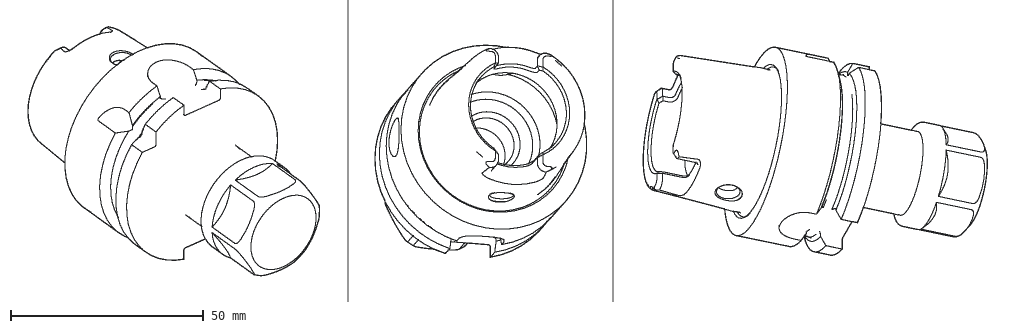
import cadquery as cq
import math

overall_length = 84.9
taper_end_x = 22.9
relief_x = 23.7
flange_start_x = 25.0
flange_end_x = 50.85
nut_start_x = 67.1

shank_tip_radius = 17.9
shank_root_radius = 19.0
shank_edge_round = 0.85
relief_radius = 18.9
face_groove_start_x = 24.7
face_groove_round = 0.9
face_groove_outer_radius = 20.4

flange_radius = 50.0 / 2
grip_centre_x = 43.0
grip_floor_radius = 21.5
grip_floor_width = 2.4
grip_corner_round = 0.8
grip_wall_height = 1.0
grip_flank_angle = 30.0

neck_radius = 11.1
neck_fillet = 4.0

bore_radius = 12.9
bore_chamfer = 0.7
bore_lip_end_x = 9.9
undercut_radius = 15.8
undercut_end_x = 19.5
bore_floor_x = 29.3
bore_floor_radius = 11.6
bore_floor_chamfer = 1.5
inner_hole_radius = 7.0
inner_hole_depth = 10.2
inner_hole_chamfer = 1.3

drive_slot_half_width = 10.45 / 2
drive_slot_depths = {1: 4.3, -1: 7.5}
drive_slot_inner_z = 8.5
drive_slot_flare_z = 13.9
drive_slot_flare_radius = 2.3
drive_slot_outer_half_width = 10.2
drive_slot_outer_z = 25.5
drive_slot_floor_round = 1.3
drive_slot_edge_chamfer = 1.2

cross_hole_x = 17.4
cross_hole_radius = 3.05
cross_hole_countersink = 0.6

slot_end_radius = 6.0
slot_centre_x = 37.8
slot_floor_z = 20.9
notch_offset = 15.3
slot_floor_fillet = 0.5

chip_x = 31.8
chip_radius = 5.0
chip_depth = 4.6

nut_radius = 13.8
nut_back_round = 1.3
nut_hex_apothem = 12.4
nut_hex_start_x = 72.5
nut_hex_count = 6
nut_cone_start_x = 82.9
nut_tip_radius = 10.8
nut_tip_round = 1.7

clearance = 4.25
chamfer_angle = 45.0
radius_tolerance = 0.001


def revolve_about_x(profile):
    return profile.close().revolve(360, (0, 0, 0), (1, 0, 0))


def holder_blank():
    """Turned outside of the holder: shank, flange with gripper groove, and neck."""
    cylinder_half = grip_floor_width / 2
    wall_half = cylinder_half + grip_corner_round
    wall_top_radius = grip_floor_radius + grip_wall_height
    flank_width = (flange_radius - wall_top_radius) * math.tan(math.radians(grip_flank_angle))
    rim_half = wall_half + flank_width
    corner_radius = grip_floor_radius + grip_corner_round
    round_drop = grip_corner_round * (1 - math.sqrt(0.5))
    groove_mid_x = face_groove_start_x + face_groove_round * math.sqrt(0.5)
    groove_mid_radius = relief_radius + face_groove_round * (1 - math.sqrt(0.5))
    neck_round_drop = neck_fillet * (1 - math.sqrt(0.5))
    shank_round_drop = shank_edge_round * (1 - math.sqrt(0.5))

    profile = (
        cq.Workplane("XY")
        .moveTo(0, 0)
        .lineTo(0, shank_tip_radius - shank_edge_round)
        .threePointArc(
            (shank_round_drop, shank_tip_radius - shank_round_drop), (shank_edge_round, shank_tip_radius)
        )
        .lineTo(taper_end_x, shank_root_radius)
        .lineTo(relief_x, relief_radius)
        .lineTo(face_groove_start_x, relief_radius)
        .threePointArc(
            (groove_mid_x, groove_mid_radius),
            (face_groove_start_x + face_groove_round, relief_radius + face_groove_round),
        )
        .lineTo(flange_start_x, face_groove_outer_radius)
        .lineTo(flange_start_x, flange_radius)
        .lineTo(grip_centre_x - rim_half, flange_radius)
        .lineTo(grip_centre_x - wall_half, wall_top_radius)
        .lineTo(grip_centre_x - wall_half, corner_radius)
        .threePointArc(
            (grip_centre_x - wall_half + round_drop, grip_floor_radius + round_drop),
            (grip_centre_x - cylinder_half, grip_floor_radius),
        )
        .lineTo(grip_centre_x + cylinder_half, grip_floor_radius)
        .threePointArc(
            (grip_centre_x + wall_half - round_drop, grip_floor_radius + round_drop),
            (grip_centre_x + wall_half, corner_radius),
        )
        .lineTo(grip_centre_x + wall_half, wall_top_radius)
        .lineTo(grip_centre_x + rim_half, flange_radius)
        .lineTo(flange_end_x, flange_radius)
        .lineTo(flange_end_x, neck_radius + neck_fillet)
        .threePointArc(
            (flange_end_x + neck_round_drop, neck_radius + neck_round_drop),
            (flange_end_x + neck_fillet, neck_radius),
        )
        .lineTo(nut_start_x, neck_radius)
        .lineTo(nut_start_x, 0)
    )
    return revolve_about_x(profile)


def clamping_bore():
    """Stepped bore: lip, wider undercut, cone and chamfer down to a flat floor, and a blind hole."""
    profile = (
        cq.Workplane("XY")
        .moveTo(0, 0)
        .lineTo(0, bore_radius)
        .lineTo(bore_lip_end_x, bore_radius)
        .lineTo(bore_lip_end_x, undercut_radius)
        .lineTo(undercut_end_x, undercut_radius)
        .lineTo(bore_floor_x - bore_floor_chamfer, bore_floor_radius + bore_floor_chamfer)
        .lineTo(bore_floor_x, bore_floor_radius)
        .lineTo(bore_floor_x, inner_hole_radius + inner_hole_chamfer)
        .lineTo(bore_floor_x + inner_hole_chamfer, inner_hole_radius)
        .lineTo(bore_floor_x + inner_hole_depth, inner_hole_radius)
        .lineTo(bore_floor_x + inner_hole_depth, 0)
    )
    return revolve_about_x(profile)


def drive_slot_outline():
    """Outline in the YZ plane: straight walls that flare outward towards the rim."""
    half = drive_slot_half_width
    outer_half = drive_slot_outer_half_width
    flare_drop = drive_slot_flare_radius * (1 - math.sqrt(0.5))
    flare_rise = drive_slot_flare_radius * math.sqrt(0.5)
    flare_end_y = half + drive_slot_flare_radius
    flare_end_z = drive_slot_flare_z + drive_slot_flare_radius
    return (
        cq.Workplane("YZ")
        .moveTo(-half, drive_slot_inner_z)
        .lineTo(half, drive_slot_inner_z)
        .lineTo(half, drive_slot_flare_z)
        .threePointArc((half + flare_drop, drive_slot_flare_z + flare_rise), (flare_end_y, flare_end_z))
        .lineTo(outer_half, flare_end_z)
        .lineTo(outer_half, drive_slot_outer_z)
        .lineTo(-outer_half, drive_slot_outer_z)
        .lineTo(-outer_half, flare_end_z)
        .lineTo(-flare_end_y, flare_end_z)
        .threePointArc((-half - flare_drop, drive_slot_flare_z + flare_rise), (-half, drive_slot_flare_z))
        .close()
    )


def drive_slot(depth):
    """Cutter for the drive slot on the +Z side, with rounded floor and chamfered mouth."""
    slot = drive_slot_outline().extrude(depth).faces(">X").edges().fillet(drive_slot_floor_round)
    mouth = (
        drive_slot_outline()
        .offset2D(drive_slot_edge_chamfer, "intersection")
        .extrude(drive_slot_edge_chamfer, taper=chamfer_angle)
    )
    return slot.union(mouth)


def cross_hole():
    """Cutter for the countersunk radial hole on the +Z side."""
    slope = (shank_root_radius - shank_tip_radius) / taper_end_x
    surface_z = shank_tip_radius + slope * cross_hole_x
    sink_radius = cross_hole_radius + cross_hole_countersink
    hole = cq.Workplane("XY").center(cross_hole_x, 0).circle(cross_hole_radius).extrude(surface_z)
    sink = (
        cq.Workplane("XY", origin=(cross_hole_x, 0, surface_z - cross_hole_countersink))
        .circle(cross_hole_radius)
        .workplane(offset=cross_hole_countersink)
        .circle(sink_radius)
        .loft()
    )
    sink_mouth = (
        cq.Workplane("XY", origin=(cross_hole_x, 0, surface_z))
        .circle(sink_radius)
        .extrude(clearance)
    )
    return hole.union(sink).union(sink_mouth)


def round_ended_slot(centre_y, floor_z):
    """Cutter open to +X and +Z with a half-round end and a fillet along its floor."""
    end_x = flange_end_x + clearance
    cutter = (
        cq.Workplane("XY", origin=(0, centre_y, floor_z))
        .moveTo(end_x, -slot_end_radius)
        .lineTo(end_x, slot_end_radius)
        .lineTo(slot_centre_x, slot_end_radius)
        .threePointArc((slot_centre_x - slot_end_radius, 0), (slot_centre_x, -slot_end_radius))
        .close()
        .extrude(flange_radius)
    )
    return cutter.faces("<Z").edges("not >X").fillet(slot_floor_fillet)


def corner_notch():
    """Cutter for the notch in the -Y, +Z corner of the flange."""
    return round_ended_slot(-notch_offset - slot_end_radius, notch_offset)


def chip_pocket():
    """Cutter for the round blind pocket in the +Y side of the flange rim."""
    return (
        cq.Workplane("XZ", origin=(chip_x, flange_radius - chip_depth, 0))
        .circle(chip_radius)
        .extrude(-chip_depth - clearance)
    )


def on_side(cutter, side):
    """Turn a +Z cutter about X onto the -Z side when side is -1."""
    return cutter if side > 0 else cutter.rotate((0, 0, 0), (1, 0, 0), 180)


def is_bore_mouth_edge(edge):
    """True for the edges where the bore opens into the shank end and the drive slots."""
    points = [edge.positionAt(t) for t in (0, 0.5, 1)]
    on_bore = all(math.isclose(math.hypot(p.y, p.z), bore_radius, abs_tol=radius_tolerance) for p in points)
    return on_bore and all(p.x < bore_lip_end_x - bore_chamfer for p in points)


def chamfer_bore_mouth(holder):
    edges = [edge for edge in holder.edges().vals() if is_bore_mouth_edge(edge)]
    return holder.newObject(edges).chamfer(bore_chamfer)


def make_holder():
    holder = holder_blank().cut(clamping_bore())
    for side, depth in drive_slot_depths.items():
        holder = holder.cut(on_side(drive_slot(depth), side))
    holder = chamfer_bore_mouth(holder)
    for side in drive_slot_depths:
        holder = holder.cut(on_side(cross_hole(), side))
        holder = holder.cut(on_side(round_ended_slot(0, slot_floor_z), side))
    return holder.cut(corner_notch()).cut(chip_pocket())


def make_nut():
    """Round nut with a rounded collar, six wrench flats and a coned tip."""
    profile = (
        cq.Workplane("XY")
        .moveTo(nut_start_x, 0)
        .lineTo(nut_start_x, nut_radius)
        .lineTo(nut_cone_start_x, nut_radius)
        .lineTo(overall_length, nut_tip_radius)
        .lineTo(overall_length, 0)
    )
    nut = revolve_about_x(profile)
    nut = nut.faces("<X").edges().fillet(nut_back_round)
    cone_edge = cq.selectors.NearestToPointSelector((nut_cone_start_x, 0, nut_radius))
    nut = nut.edges("%CIRCLE").edges(cone_edge).fillet(nut_tip_round)

    hexagon = (
        cq.Workplane("YZ", origin=(nut_start_x, 0, 0))
        .polygon(nut_hex_count, 2 * nut_hex_apothem, circumscribed=True)
        .extrude(overall_length - nut_start_x)
        .rotate((0, 0, 0), (1, 0, 0), 180 / nut_hex_count)
    )
    collar = revolve_about_x(
        cq.Workplane("XY")
        .moveTo(nut_start_x, 0)
        .lineTo(nut_start_x, nut_radius)
        .lineTo(nut_hex_start_x, nut_radius)
        .lineTo(nut_hex_start_x + nut_radius, 0)
    )
    return nut.intersect(hexagon.union(collar))


holder = make_holder()
nut = make_nut()

result = cq.Compound.makeCompound([holder.val(), nut.val()])